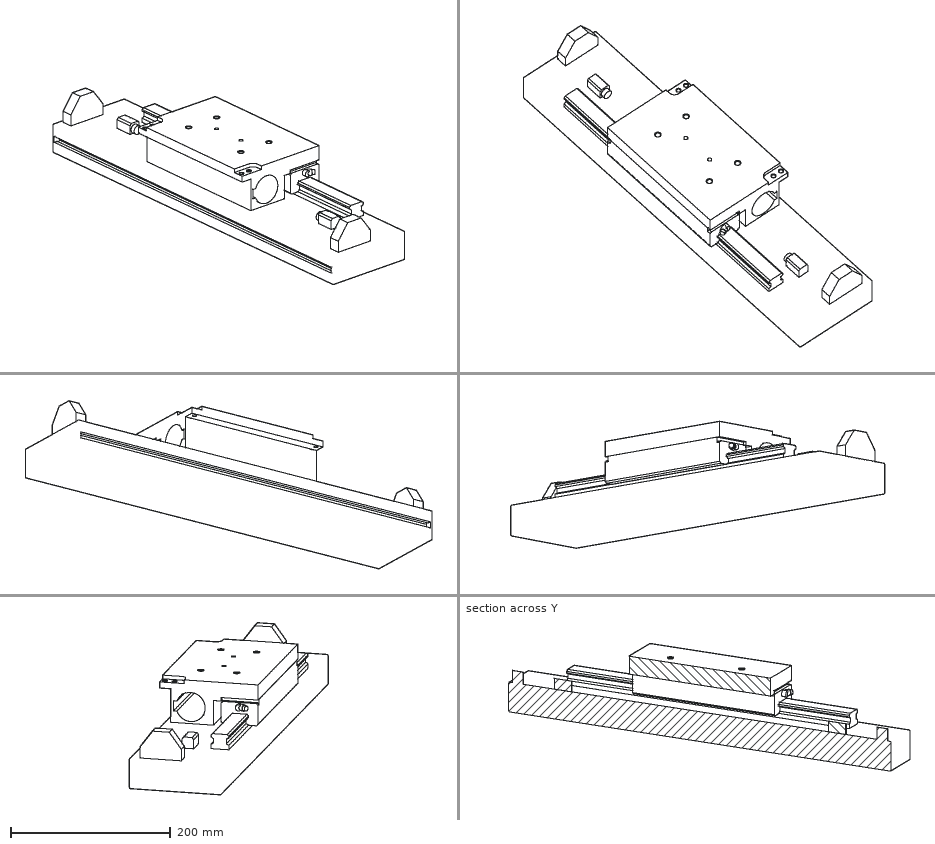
import cadquery as cq
import math

total_height = 99.0
z_floor = -total_height / 2
z_top = total_height / 2
sides = (-1, 1)

base_length = 540
base_width = 120.0
base_height = 40.0
base_edge_radius = 2.0
z_base_top = z_floor + base_height

slot_length = 532.5
slot_z = -29.5
slot_opening = 8.0
slot_lip = 5.0
slot_inner_height = 16.0
slot_depth = 9.0

stop_thickness = 15.0
stop_center_x = 257.0
stop_center_y = -20.0
stop_width = 53.5
stop_top_width = 22.0
stop_height = 36.0
stop_shoulder = 15.0

buffer_outer_x = 206.0
buffer_length = 25.0
buffer_width = 15.0
buffer_height = 14.5
buffer_bevel_width = 1.9
buffer_bevel_height = 2.5
nose_diameter = 12.0
nose_length = 6.0

rail_length = 398.5
rail_width = 23.0
rail_y = 40.0
rail_waist_width = 17.0
rail_top_chamfer = 2.0
z_rail_top = 10.0
z_rail_head = 6.0
z_rail_waist_top = 4.0
z_rail_waist_bottom = -1.9
z_rail_foot = -4.0

table_length = 200.0
table_width = 128.0
half_table_width = table_width / 2
overhang_thickness = 13.0
plate_thickness = 24.5
housing_y_min = -49.5
housing_y_max = 6.0
z_housing_bottom = -7.0
bore_diameter = 38.0
bore_y = -24.0
bore_z = 14.5
groove_y_min = -46.0
groove_height = 13.0

fixing_hole_diameter = 6.5
fixing_hole_mouth = 8.0
fixing_hole_x = 50.0
fixing_hole_y = 23.0
dowel_hole_diameter = 5.0
dowel_hole_x = 23.0
top_hole_depth = 11.0
pocket_width = 15.0
pocket_length = 32.0
pocket_depth = 5.0
pocket_radius = 8.0
pocket_hole_diameter = 4.9
pocket_hole_mouth = 6.5
pocket_hole_x = 92.5
pocket_hole_ys = (-46.5, -59.0)

carriage_width = 48.0
carriage_y = half_table_width - carriage_width / 2
z_carriage_bottom = -4.05
z_carriage_top = 29.5
carriage_chamfer = 2.0
end_cap_length = 5.0
z_end_cap_top = 25.0

nipple_z = 19.5
nipple_diameter = 8.0
nipple_shank_length = 6.0
nipple_elbow_offset = 1.0
nipple_angle = 60
nipple_stem_length = 8.0
nipple_end_diameter = 6.5
nipple_end_length = 4.0


def block(x_min, x_max, y_min, y_max, z_min, z_max):
    """Axis-aligned box between the given limits."""
    size = (x_max - x_min, y_max - y_min, z_max - z_min)
    return cq.Workplane("XY").box(*size, centered=False).translate((x_min, y_min, z_min))


def extrude_along_x(points, length, center_x=0):
    """Prism with a (y, z) outline, centred on center_x."""
    outline = cq.Workplane("YZ", origin=(center_x, 0, 0)).polyline(points).close()
    return outline.extrude(length / 2, both=True)


def side_slot():
    """T-slot whose cavity narrows at 45 degrees behind the lips."""
    y_face = -base_width / 2
    y_lip = y_face + slot_lip
    y_floor = y_face + slot_depth
    half_opening = slot_opening / 2
    half_inner = slot_inner_height / 2
    half_floor = half_inner - (slot_depth - slot_lip)
    upper = [
        (y_face, half_opening),
        (y_lip, half_opening),
        (y_lip, half_inner),
        (y_floor, half_floor),
    ]
    lower = [(y, -z) for y, z in reversed(upper)]
    return extrude_along_x(upper + lower, slot_length).translate((0, 0, slot_z))


def end_stop(side):
    """Upright plate with both upper corners cut away."""
    z_shoulder = z_base_top + stop_shoulder
    right = [
        (stop_center_y + stop_width / 2, z_base_top),
        (stop_center_y + stop_width / 2, z_shoulder),
        (stop_center_y + stop_top_width / 2, z_base_top + stop_height),
    ]
    left = [(2 * stop_center_y - y, z) for y, z in reversed(right)]
    return extrude_along_x(right + left, stop_thickness, side * stop_center_x)


def make_base():
    """Rounded beam with the side slot and an end stop at each end."""
    base = block(
        -base_length / 2, base_length / 2, -base_width / 2, base_width / 2, z_floor, z_base_top
    )
    base = base.edges().fillet(base_edge_radius).cut(side_slot())
    for side in sides:
        base = base.union(end_stop(side))
    return base


def make_buffer(side):
    """Bevelled body lying on the base with a round nose towards the middle."""
    half_width = buffer_width / 2
    half_top = half_width - buffer_bevel_width
    z_buffer_top = z_base_top + buffer_height
    outline = [
        (-half_width, z_base_top),
        (half_width, z_base_top),
        (half_width, z_buffer_top - buffer_bevel_height),
        (half_top, z_buffer_top),
        (-half_top, z_buffer_top),
        (-half_width, z_buffer_top - buffer_bevel_height),
    ]
    body = extrude_along_x(outline, buffer_length, side * (buffer_outer_x - buffer_length / 2))
    nose_start = (side * (buffer_outer_x - buffer_length), 0, z_base_top + nose_diameter / 2)
    nose = cq.Workplane("YZ", origin=nose_start).circle(nose_diameter / 2).extrude(-side * nose_length)
    return body.union(nose)


def make_rail():
    """Rail with a bevelled head, a narrow waist and a wide foot."""
    half_width = rail_width / 2
    half_waist = rail_waist_width / 2
    right = [
        (half_width, z_base_top),
        (half_width, z_rail_foot),
        (half_waist, z_rail_waist_bottom),
        (half_waist, z_rail_waist_top),
        (half_width, z_rail_head),
        (half_width, z_rail_top - rail_top_chamfer),
        (half_width - rail_top_chamfer, z_rail_top),
    ]
    left = [(-y, z) for y, z in reversed(right)]
    return extrude_along_x(right + left, rail_length).translate((0, rail_y, 0))


def grease_nipple(side):
    """Short shank on the carriage end with a stem that slants towards +Y and steps down at its end."""
    radius = nipple_diameter / 2
    angle = math.radians(nipple_angle)
    start = cq.Vector(side * table_length / 2, carriage_y, nipple_z)
    along = cq.Vector(side, 0, 0)
    slanted = cq.Vector(side * math.cos(angle), math.sin(angle), 0)
    elbow = start + along * nipple_elbow_offset
    stem_end = elbow + slanted * nipple_stem_length
    shank = cq.Solid.makeCylinder(radius, nipple_shank_length, start, along)
    stem = cq.Solid.makeCylinder(radius, nipple_stem_length, elbow, slanted)
    end = cq.Solid.makeCylinder(nipple_end_diameter / 2, nipple_end_length, stem_end, slanted)
    nipple = cq.Workplane(shank).union(stem).union(end)
    return nipple.cut(block(*sorted((0, start.x)), 0, half_table_width, z_floor, z_top))


def make_carriage(rail):
    """Block around the rail with a lower cap at each end and a grease nipple on each cap."""
    y_min = carriage_y - carriage_width / 2
    half_length = table_length / 2
    half_body = half_length - end_cap_length
    y_limits = (y_min, half_table_width)
    carriage = block(-half_length, half_length, *y_limits, z_carriage_bottom, z_end_cap_top)
    carriage = carriage.edges("|X").chamfer(carriage_chamfer)
    z_shoulder = z_carriage_bottom + carriage_chamfer
    carriage = carriage.union(block(-half_body, half_body, *y_limits, z_shoulder, z_carriage_top))
    carriage = carriage.cut(rail)
    for side in sides:
        carriage = carriage.union(grease_nipple(side))
    return carriage


def drilled_holes(points, diameter, z_start, depth, mouth=None):
    """Round holes going down from z_start, with a 45 degree countersink when a mouth diameter is given."""
    plane = cq.Workplane("XY", origin=(0, 0, z_start))
    holes = plane.pushPoints(points).circle(diameter / 2).extrude(-depth)
    if mouth:
        sink_depth = (mouth - diameter) / 2
        sinks = plane.pushPoints(points).circle(mouth / 2).extrude(-sink_depth, taper=45)
        holes = holes.union(sinks)
    return holes


def corner_pocket(side):
    """Shallow pocket open to the end and the -Y side of the table, with its two holes."""
    half_length = table_length / 2
    x_limits = sorted((side * half_length, side * (half_length - pocket_width)))
    z_pocket = z_top - pocket_depth
    pocket = block(*x_limits, -half_table_width, -half_table_width + pocket_length, z_pocket, z_top)
    inner_corner = "<X and >Y" if side > 0 else ">X and >Y"
    pocket = pocket.edges("|Z").edges(inner_corner).fillet(pocket_radius)
    points = [(side * pocket_hole_x, y) for y in pocket_hole_ys]
    hole_depth = overhang_thickness - pocket_depth
    return pocket.union(
        drilled_holes(points, pocket_hole_diameter, z_pocket, hole_depth, pocket_hole_mouth)
    )


def make_table():
    """Top plate with a bored housing below it and a recess for the carriage."""
    half_length = table_length / 2
    x_limits = (-half_length, half_length)
    z_overhang = z_top - overhang_thickness
    table = block(*x_limits, -half_table_width, half_table_width, z_overhang, z_top)
    table = table.union(block(*x_limits, housing_y_min, half_table_width, z_top - plate_thickness, z_overhang))
    table = table.union(block(*x_limits, housing_y_min, housing_y_max, z_housing_bottom, z_overhang))

    recess_y = carriage_y - carriage_width / 2
    table = table.cut(block(*x_limits, recess_y, half_table_width, z_floor, z_carriage_top))

    bore_center = (0, bore_y, bore_z)
    bore = cq.Workplane("YZ", origin=bore_center).circle(bore_diameter / 2).extrude(half_length, both=True)
    groove_z = (bore_z - groove_height / 2, bore_z + groove_height / 2)
    table = table.cut(bore).cut(block(*x_limits, groove_y_min, bore_y, *groove_z))

    fixing_points = [(i * fixing_hole_x, j * fixing_hole_y) for i in sides for j in sides]
    dowel_points = [(i * dowel_hole_x, 0) for i in sides]
    fixing_holes = drilled_holes(
        fixing_points, fixing_hole_diameter, z_top, top_hole_depth, fixing_hole_mouth
    )
    dowel_holes = drilled_holes(dowel_points, dowel_hole_diameter, z_top, top_hole_depth)
    table = table.cut(fixing_holes).cut(dowel_holes)
    for side in sides:
        table = table.cut(corner_pocket(side))
    return table


base = make_base()
rail = make_rail()
carriage = make_carriage(rail)
table = make_table()
buffers = [make_buffer(side) for side in sides]

bodies = [base, rail, carriage, table, *buffers]
result = cq.Compound.makeCompound([body.solids().val() for body in bodies])